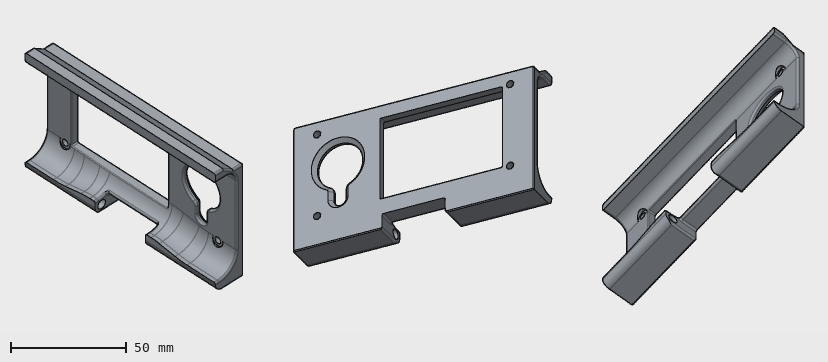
import cadquery as cq
import math

length = 117.0
depth = 17.0
height = 66.0
plate_thickness = 4.0
plate_front = depth - plate_thickness
edge_round = 1.0
back_chamfer = 0.5

shelf_height = 62.1
shelf_front = 11.0
lip_back = 5.0
lip_underside = 61.1
upper_cove_radius = 6.4

nose_radius = 4.0
trough_floor = 5.0
trough_radius = 10.9
trough_centre_y = plate_front - trough_radius
trough_top = 30.4
recess_bottom = 28.1

rise_angle = math.radians(9.0)
rise_inner = 18.8
rise_outer = 41.1
inner_bend_run = 5.1
outer_bend_run = 7.4
ramp_run = rise_outer - rise_inner - inner_bend_run - outer_bend_run
ramp_rise = ramp_run * math.tan(rise_angle)
inner_rise = inner_bend_run * math.tan(rise_angle / 2)
outer_rise = outer_bend_run * math.tan(rise_angle / 2)
raised_floor = trough_floor + outer_rise + ramp_rise + inner_rise

window_left = -43.2
window_right = 16.4
window_bottom = 15.1
window_top = 55.6
window_corner_radius = 0.7
window_rim_round = 0.5

key_x = 36.7
key_z = 38.4
key_radius = 11.0
key_slot_width = 6.0
key_slot_drop = 17.0
key_neck_radius = 2.9
key_back_chamfer = 2.0

screw_x = 46.9
screw_low_z = 14.9
screw_high_z = 55.8
screw_diameter = 3.4
screw_seat_diameter = 6.2
seat_height = 4.7

gap_width = 30.8
gap_top = 7.4
gap_brow_radius = 1.2
pin_diameter = 4.7
pin_hole_depth = 9.4

overcut = 0.6
tolerance = 0.1

half_length = length / 2
half_gap = gap_width / 2


def frame_block():
    """Side profile with the upper recess, extruded along the full length."""
    bend = upper_cove_radius * math.sqrt(0.5)
    cove_y = plate_front - upper_cove_radius
    cove_z = lip_underside - upper_cove_radius
    profile = (
        cq.Workplane("YZ", origin=(-half_length, 0, 0))
        .moveTo(depth, 0)
        .lineTo(depth, shelf_height)
        .lineTo(shelf_front, shelf_height)
        .lineTo(lip_back, height)
        .lineTo(0, height)
        .lineTo(0, lip_underside)
        .lineTo(cove_y, lip_underside)
        .threePointArc((cove_y + bend, cove_z + bend), (plate_front, cove_z))
        .lineTo(plate_front, recess_bottom)
        .lineTo(0, recess_bottom)
        .lineTo(0, nose_radius)
        .radiusArc((nose_radius, 0), -nose_radius)
        .close()
    )
    return profile.extrude(length)


def bend_midpoint(run):
    """X and Z offset, from its level end, of the middle of a bend turning by the rise angle."""
    radius = run / math.sin(rise_angle)
    half_angle = rise_angle / 2
    return radius * math.sin(half_angle), radius * (1 - math.cos(half_angle))


def trough_cutter():
    """Trough section swept along a path that ramps up to the raised middle."""
    inner_x, inner_z = bend_midpoint(inner_bend_run)
    outer_x, outer_z = bend_midpoint(outer_bend_run)

    low = trough_floor
    top = raised_floor
    ramp_start = (rise_outer - outer_bend_run, low + outer_rise)
    ramp_end = (rise_inner + inner_bend_run, top - inner_rise)
    outer_middle = (rise_outer - outer_x, low + outer_z)
    inner_middle = (rise_inner + inner_x, top - inner_z)

    def mirrored(point):
        return (-point[0], point[1])

    path = (
        cq.Workplane("XZ")
        .moveTo(-half_length, low)
        .lineTo(-rise_outer, low)
        .threePointArc(mirrored(outer_middle), mirrored(ramp_start))
        .lineTo(*mirrored(ramp_end))
        .threePointArc(mirrored(inner_middle), (-rise_inner, top))
        .lineTo(rise_inner, top)
        .threePointArc(inner_middle, ramp_end)
        .lineTo(*ramp_start)
        .threePointArc(outer_middle, (rise_outer, low))
        .lineTo(half_length, low)
    )
    section = (
        cq.Workplane("YZ", origin=(-half_length, 0, 0))
        .moveTo(-overcut, low)
        .lineTo(trough_centre_y, low)
        .radiusArc((plate_front, low + trough_radius), -trough_radius)
        .lineTo(plate_front, trough_top)
        .lineTo(-overcut, trough_top)
        .close()
    )
    return section.sweep(path)


def is_rounded(edge):
    """True for end edges other than the back, the foot, the nose and the vertical fronts."""
    centre = edge.Center()
    on_back = centre.y > depth - overcut
    on_front = centre.y < overcut
    on_nose = centre.z < nose_radius
    return not (on_back or on_front or on_nose)


def round_ends(body):
    """Round the remaining edges of both ends."""
    edges = [edge for edge in body.faces("<X or >X").edges().vals() if is_rounded(edge)]
    return body.newObject(edges).fillet(edge_round)


def chamfer_back(body):
    """Break the four outer edges of the back face."""
    return body.faces(">Y").edges().chamfer(back_chamfer)


def cut_window(body):
    """Cut the rectangular window through the plate and round its front rim."""
    width = window_right - window_left
    tall = window_top - window_bottom
    opening = (
        cq.Workplane("XZ", origin=(window_left + width / 2, depth, window_bottom + tall / 2))
        .rect(width, tall)
        .extrude(depth)
        .edges("|Y")
        .fillet(window_corner_radius)
    )
    rim = cq.selectors.BoxSelector(
        (window_left - overcut, trough_centre_y, window_bottom - overcut),
        (window_right + overcut, plate_front + overcut, window_top + overcut),
    )
    return body.cut(opening).edges(rim).fillet(window_rim_round)


def keyhole_cutter():
    """Round head with a slot below it, joined through rounded neck corners."""
    half_slot = key_slot_width / 2
    plane = cq.Workplane("XZ", origin=(key_x, depth, key_z))
    head = plane.circle(key_radius).extrude(plate_thickness)
    slot = (
        plane.moveTo(-half_slot, 0)
        .lineTo(-half_slot, -key_slot_drop)
        .threePointArc((0, -key_slot_drop - half_slot), (half_slot, -key_slot_drop))
        .lineTo(half_slot, 0)
        .close()
        .extrude(plate_thickness)
    )
    neck = cq.selectors.BoxSelector(
        (key_x - key_radius, 0, key_z - key_slot_drop + overcut),
        (key_x + key_radius, 2 * depth, key_z - key_radius / 2),
    )
    return head.union(slot).edges("|Y").edges(neck).fillet(key_neck_radius)


def keyhole_rim(y):
    """Selector for the keyhole edges lying in the plane at the given Y."""
    reach = key_radius + overcut
    return cq.selectors.BoxSelector(
        (key_x - reach, y - overcut, key_z - key_slot_drop - key_slot_width),
        (key_x + reach, y + overcut, key_z + reach),
    )


def cut_keyhole(body):
    """Cut the keyhole, round its front rim and bevel its back rim."""
    body = body.cut(keyhole_cutter())
    body = body.edges(keyhole_rim(plate_front)).fillet(edge_round)
    return body.edges(keyhole_rim(depth)).chamfer(key_back_chamfer)


def screw_cutter():
    """Four screw holes with flat seats level with the plate front."""
    places = [(x, z) for x in (-screw_x, screw_x) for z in (screw_low_z, screw_high_z)]
    plane = cq.Workplane("XZ", origin=(0, depth, 0))
    holes = plane.pushPoints(places).circle(screw_diameter / 2).extrude(plate_thickness)
    seats = (
        plane.workplane(offset=plate_thickness)
        .pushPoints(places)
        .circle(screw_seat_diameter / 2)
        .extrude(seat_height)
    )
    return holes.union(seats)


def gap_cutter():
    """Gap through the lower edge, flared at the bottom to round the feet beside it."""
    return (
        cq.Workplane("XZ", origin=(0, depth, 0))
        .moveTo(-half_gap - edge_round, 0)
        .radiusArc((-half_gap, edge_round), -edge_round)
        .lineTo(-half_gap, gap_top)
        .lineTo(half_gap, gap_top)
        .lineTo(half_gap, edge_round)
        .radiusArc((half_gap + edge_round, 0), -edge_round)
        .close()
        .extrude(depth)
    )


def cut_gap(body):
    """Cut the gap, round the trough into its ceiling and round the tops of its side walls."""
    trough_centre_z = raised_floor + trough_radius
    brow_z = gap_top + gap_brow_radius
    brow_reach = trough_radius + gap_brow_radius
    brow_angle = math.acos((trough_centre_z - brow_z) / brow_reach)
    brow_y = trough_centre_y + brow_reach * math.sin(brow_angle)
    tangent_y = trough_centre_y + trough_radius * math.sin(brow_angle)
    tangent_z = trough_centre_z - trough_radius * math.cos(brow_angle)
    brow_relief = (
        cq.Workplane("YZ", origin=(-half_gap, 0, 0))
        .moveTo(0, gap_top)
        .lineTo(brow_y, gap_top)
        .radiusArc((tangent_y, tangent_z), gap_brow_radius)
        .lineTo(0, tangent_z)
        .close()
        .extrude(gap_width)
    )
    wall_tops = cq.selectors.BoxSelector(
        (-half_gap - tolerance, tolerance, gap_top + tolerance),
        (half_gap + tolerance, tangent_y, tangent_z),
    )
    body = body.cut(gap_cutter()).cut(brow_relief)
    return body.edges(wall_tops).edges("not |X").fillet(edge_round)


def pin_cutter():
    """Blind pin holes in both gap walls, concentric with the nose."""
    return (
        cq.Workplane("YZ")
        .center(nose_radius, nose_radius)
        .circle(pin_diameter / 2)
        .extrude(half_gap + pin_hole_depth, both=True)
    )


result = frame_block().cut(trough_cutter())
result = round_ends(result)
result = chamfer_back(result)
result = cut_gap(result)
result = cut_window(result)
result = cut_keyhole(result)
result = result.cut(screw_cutter())
result = result.cut(pin_cutter())